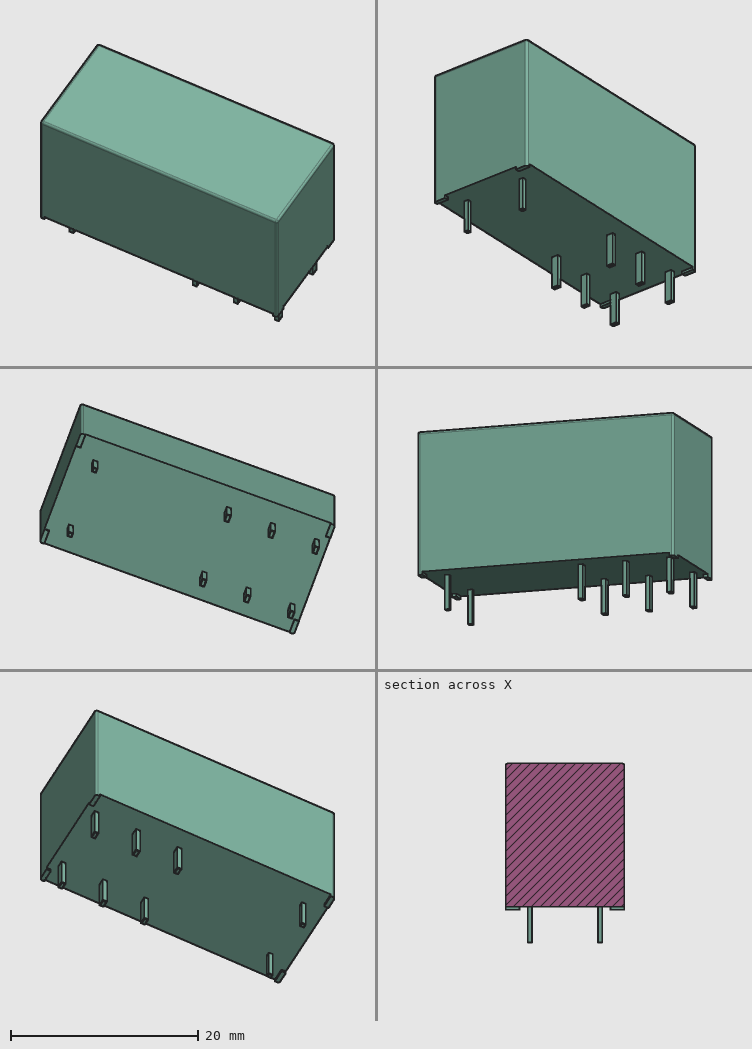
import cadquery as cq

length = 29.0
width = 12.7
total_height = 19.2
pin_drop = 3.5
edge_radius = 0.25

foot_height = 0.32
foot_length = 0.52
foot_width = 1.5

row_spacing = 7.5
pin_thickness = 0.5
coil_pin_width = 0.5
contact_pin_width = 0.8
tip_chamfer = 0.072
coil_end_gap = 2.52
contact_end_gap = 1.28
contact_pitch = 5.02
contact_count = 3

housing_top = total_height - pin_drop
housing_floor = foot_height


def make_housing():
    """Housing with rounded upright and top edges, raised on four corner feet."""
    body = (
        cq.Workplane("XY")
        .box(length, width, housing_top, centered=(True, True, False))
        .edges("|Z or >Z")
        .fillet(edge_radius)
    )
    lengthwise_channel = cq.Workplane("XY").box(
        length, width - 2 * foot_width, foot_height, centered=(True, True, False)
    )
    crosswise_channel = cq.Workplane("XY").box(
        length - 2 * foot_length, width, foot_height, centered=(True, True, False)
    )
    return body.cut(lengthwise_channel).cut(crosswise_channel)


def make_pin(x, y, pin_width):
    """Rectangular pin hanging from the housing floor, with a chamfered tip."""
    return (
        cq.Workplane("XY", origin=(x, y, -pin_drop))
        .rect(pin_thickness, pin_width)
        .extrude(pin_drop + housing_floor)
        .faces("<Z")
        .chamfer(tip_chamfer)
    )


coil_x = -length / 2 + coil_end_gap
last_contact_x = length / 2 - contact_end_gap

result = make_housing()
for row_y in (-row_spacing / 2, row_spacing / 2):
    result = result.union(make_pin(coil_x, row_y, coil_pin_width))
    for i in range(contact_count):
        contact_x = last_contact_x - i * contact_pitch
        result = result.union(make_pin(contact_x, row_y, contact_pin_width))